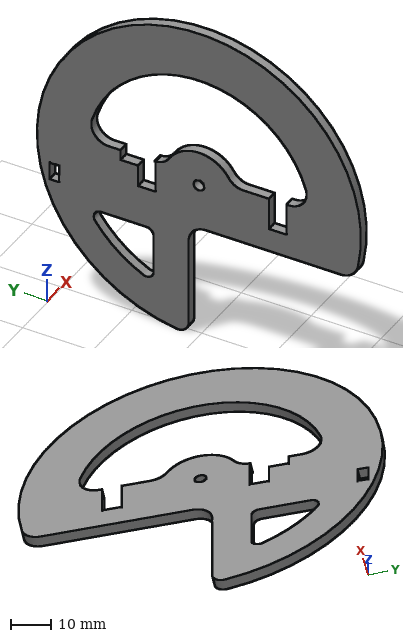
import cadquery as cq

thickness = 3.0
disc_radius = 46.4
pivot_diameter = 3.0

notch_side_y = 3.0
notch_top_z = -13.0
large_fillet = 5.0
tip_fillet = 3.0

window_radius = 32.0
window_floor_z = 3.0
hub_radius = 10.0

slot_width = 5.0
slot_bottom_z = -6.2
left_slot_y = 12.4
right_slot_y = -25.1
step_bottom_z = 0.0

lower_window_radius = 36.5
lower_window_top_z = -17.9
lower_window_side_y = 13.0
lower_window_fillet = 2.0

rim_hole_y = 40.0
rim_hole_width = 2.8
rim_hole_height = 5.0

reach = 2 * disc_radius


def cylinder(radius):
    return cq.Workplane("YZ").circle(radius).extrude(thickness / 2, both=True)


def block(y_min, y_max, z_min, z_max):
    return (
        cq.Workplane("YZ")
        .center((y_min + y_max) / 2, (z_min + z_max) / 2)
        .rect(y_max - y_min, z_max - z_min)
        .extrude(thickness / 2, both=True)
    )


def make_plate():
    notch = block(-reach, notch_side_y, -reach, notch_top_z)
    plate = cylinder(disc_radius).cut(notch)
    plate = plate.edges("|X").edges("<Z").fillet(tip_fillet)
    notch_corner = cq.selectors.NearestToPointSelector((0, notch_side_y, notch_top_z))
    rim_corner = cq.selectors.NearestToPointSelector((0, -disc_radius, notch_top_z))
    plate = plate.edges("|X").edges(notch_corner).fillet(large_fillet)
    return plate.edges("|X").edges(rim_corner).fillet(large_fillet)


def make_upper_window():
    above_floor = block(-reach, reach, window_floor_z, reach)
    window = cylinder(window_radius).intersect(above_floor).cut(cylinder(hub_radius))
    return window.edges("|X").fillet(large_fillet)


def make_slot(y_min, bottom_z):
    return block(y_min, y_min + slot_width, bottom_z, window_floor_z)


def make_lower_window():
    corner = block(lower_window_side_y, reach, -reach, lower_window_top_z)
    return cylinder(lower_window_radius).intersect(corner).edges("|X").fillet(lower_window_fillet)


result = make_plate().cut(make_upper_window()).cut(make_lower_window())
result = result.cut(cylinder(pivot_diameter / 2))

for slot_y, bottom_z in (
    (left_slot_y, slot_bottom_z),
    (left_slot_y + slot_width, step_bottom_z),
    (right_slot_y, slot_bottom_z),
):
    result = result.cut(make_slot(slot_y, bottom_z))

result = result.cut(
    block(rim_hole_y, rim_hole_y + rim_hole_width, notch_top_z, notch_top_z + rim_hole_height)
)